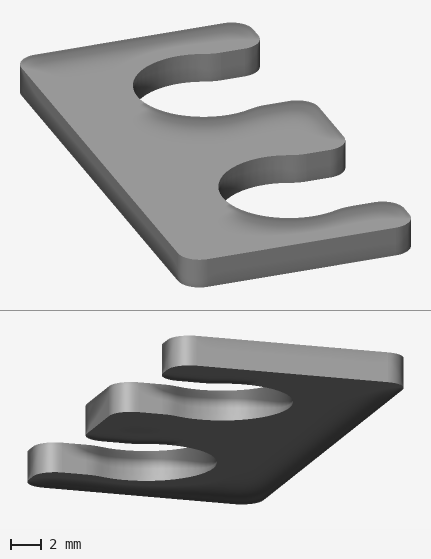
import cadquery as cq
import math

length = 31.75
width = 16.0
thickness = 2.0
corner_radius = 1.5

seat_radius = 4.57
seat_spacing = 15.72
seat_y = 2.13
neck_width = 8.13
neck_radius = 3.0

neck_rise = math.sqrt(seat_radius**2 - (neck_width / 2) ** 2)
seat_centers = [(-seat_spacing / 2, seat_y), (seat_spacing / 2, seat_y)]


def edge_at(x, y):
    """Select the vertical edge standing at the given X, Y position."""
    return cq.selectors.NearestToPointSelector((x, y, thickness / 2))


def cut_seat(body, center):
    """Cut one seat and its neck, then round the neck corners."""
    x, y = center
    neck_length = width / 2 - y
    seat = cq.Workplane("XY").center(x, y).circle(seat_radius).extrude(thickness)
    neck = (
        cq.Workplane("XY")
        .center(x, y + neck_length / 2)
        .rect(neck_width, neck_length)
        .extrude(thickness)
    )
    body = body.cut(seat.union(neck))
    for wall_x in (x - neck_width / 2, x + neck_width / 2):
        body = body.edges("|Z").edges(edge_at(wall_x, y + neck_rise)).fillet(neck_radius)
        body = body.edges("|Z").edges(edge_at(wall_x, width / 2)).fillet(corner_radius)
    return body


plate = cq.Workplane("XY").box(length, width, thickness, centered=(True, True, False))
result = plate.edges("|Z").fillet(corner_radius)
for seat_center in seat_centers:
    result = cut_seat(result, seat_center)